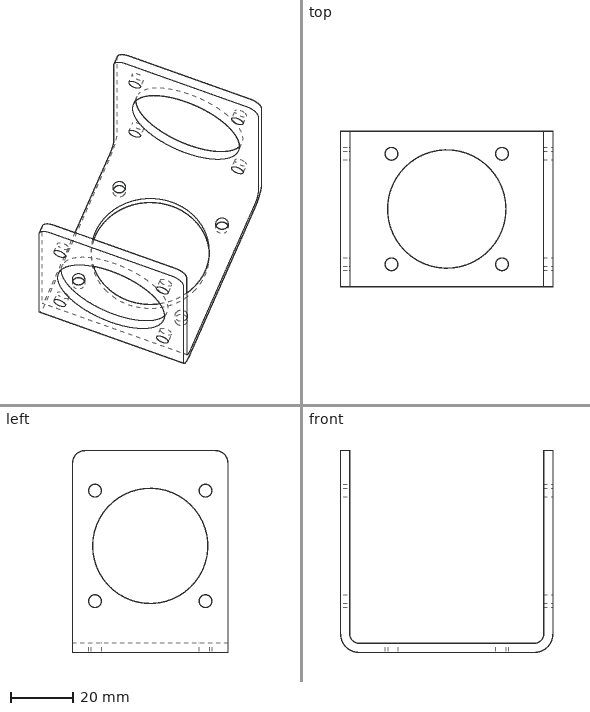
import cadquery as cq

width = 68.35
depth = 50.0
height = 65.0

thickness = 3.0
inner_bend_radius = 3.0
outer_bend_radius = inner_bend_radius + thickness
corner_radius = 4.0

base_opening_diameter = 38.0
side_opening_diameter = 37.0
screw_hole_diameter = 4.0
screw_spacing = 35.55
side_opening_height = 34.3


def make_bent_sheet():
    """U-shaped sheet, centred on X and Y, with its underside at Z = 0."""
    outer = (
        cq.Workplane("XY")
        .box(width, depth, height, centered=(True, True, False))
        .edges("|Y and <Z")
        .fillet(outer_bend_radius)
    )
    inner = (
        cq.Workplane("XY")
        .workplane(offset=thickness)
        .box(width - 2 * thickness, depth, height, centered=(True, True, False))
        .edges("|Y and <Z")
        .fillet(inner_bend_radius)
    )
    return outer.cut(inner)


def hole_pattern(plane, opening_diameter, length):
    """Cutter for one opening and its screw holes, reaching both ways from the plane."""
    opening = plane.circle(opening_diameter / 2).extrude(length / 2, both=True)
    screw_holes = (
        plane.rect(screw_spacing, screw_spacing, forConstruction=True)
        .vertices()
        .circle(screw_hole_diameter / 2)
        .extrude(length / 2, both=True)
    )
    return opening.union(screw_holes)


sheet = make_bent_sheet().edges("|X and >Z").fillet(corner_radius)

base_holes = hole_pattern(cq.Workplane("XY"), base_opening_diameter, 4 * thickness)

side_plane = cq.Workplane("YZ", origin=(0, 0, side_opening_height))
side_holes = hole_pattern(side_plane, side_opening_diameter, 2 * width)

result = sheet.cut(base_holes).cut(side_holes)